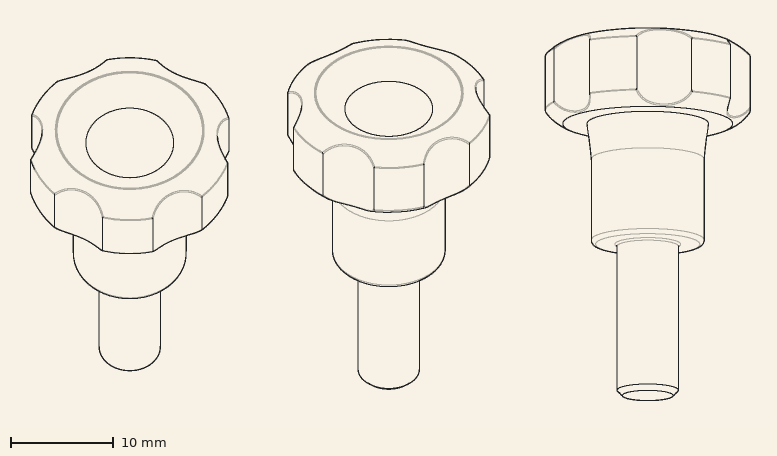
import cadquery as cq
import math

total_height = 35.0
head_height = 8.0
collar_bottom = 15.0
neck_length = 3.55
rim_bottom = 28.3
rim_top = 33.63

stud_radius = 6.0 / 2
collar_radius = 11.0 / 2
neck_top_radius = 5.9
head_radius = 19.95 / 2
head_underside_radius = 8.25
crown_radius = 7.25
dish_mouth_radius = 7.1

tip_chamfer = 0.52
stud_root_fillet = 0.2
collar_fillet = 0.42
crown_sag = 0.25
underside_sag = 0.17
rim_fillet = 0.15

dish_floor_radius = 4.27
dish_depth = 2.0
dish_lip_fillet = 0.15

scallop_count = 6
scallop_radius = 4.0
scallop_center_radius = 12.53

head_bottom = total_height - head_height
neck_bottom = head_bottom - neck_length
dish_floor = total_height - dish_depth


def make_stud():
    stud = cq.Workplane("XY").circle(stud_radius).extrude(collar_bottom)
    return stud.faces("<Z").chamfer(tip_chamfer)


def make_collar():
    height = neck_bottom - collar_bottom
    collar = cq.Workplane("XY").workplane(offset=collar_bottom).circle(collar_radius).extrude(height)
    return collar.faces("<Z").edges().fillet(collar_fillet)


def make_neck():
    """Conical neck that widens toward the head."""
    return (
        cq.Workplane("XZ")
        .moveTo(0, neck_bottom)
        .lineTo(collar_radius, neck_bottom)
        .lineTo(neck_top_radius, head_bottom)
        .lineTo(0, head_bottom)
        .close()
        .revolve(360, (0, 0, 0), (0, 1, 0))
    )


def make_head():
    """Revolved head with a domed shoulder, a beveled underside and a conical dish."""
    head = (
        cq.Workplane("XZ")
        .moveTo(0, head_bottom)
        .lineTo(head_underside_radius, head_bottom)
        .sagittaArc((head_radius, rim_bottom), -underside_sag)
        .lineTo(head_radius, rim_top)
        .sagittaArc((crown_radius, total_height), -crown_sag)
        .lineTo(dish_mouth_radius, total_height)
        .lineTo(dish_floor_radius, dish_floor)
        .lineTo(0, dish_floor)
        .close()
        .revolve(360, (0, 0, 0), (0, 1, 0))
    )
    dish_lip = cq.selectors.RadiusNthSelector(0)
    return head.faces(">Z").edges(dish_lip).fillet(dish_lip_fillet)


def make_scallops():
    return (
        cq.Workplane("XY")
        .workplane(offset=head_bottom)
        .polarArray(scallop_center_radius, 0, 360, scallop_count)
        .circle(scallop_radius)
        .extrude(head_height)
    )


def round_scalloped_rims(head):
    """Round the two scalloped outlines, above and below the grip sides."""
    grip_sides = head.faces("%CYLINDER")
    return grip_sides.edges("not |Z").fillet(rim_fillet)


def make_stud_root():
    """Concave fillet ring between the stud and the underside of the collar."""
    root_bottom = collar_bottom - stud_root_fillet
    root_outer_radius = stud_radius + stud_root_fillet
    arc_offset = stud_root_fillet * (1 - math.sqrt(0.5))
    return (
        cq.Workplane("XZ")
        .moveTo(0, root_bottom)
        .lineTo(stud_radius, root_bottom)
        .threePointArc(
            (stud_radius + arc_offset, collar_bottom - arc_offset),
            (root_outer_radius, collar_bottom),
        )
        .lineTo(0, collar_bottom)
        .close()
        .revolve(360, (0, 0, 0), (0, 1, 0))
    )


head = round_scalloped_rims(make_head().cut(make_scallops()))
shank = make_stud().union(make_stud_root()).union(make_collar()).union(make_neck())
result = shank.union(head)